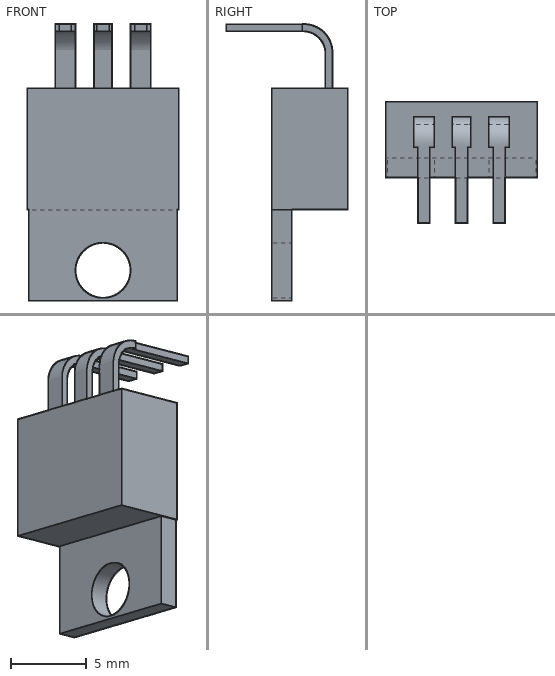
import cadquery as cq
import math

body_width = 10.0
body_depth = 5.0
body_height = 8.0

tab_width = 9.8
tab_thickness = 1.33
tab_height = 6.0
hole_diameter = 3.6
hole_height = 2.0

total_height = 18.21
outer_lead_width = 1.35
middle_lead_width = 1.2
lead_gap = 1.2
tip_width = 0.8
lead_thickness = 0.5
lead_back = 4.0
bend_depth = 2.0
bend_outer_radius = 1.9
bend_inner_radius = 1.44
bend_axis_setback = 0.117
tip_reach = 2.99

body_top = tab_height + body_height
bend_front = lead_back - bend_depth

bend_axis_y = bend_front + bend_axis_setback
bend_axis_z = total_height - bend_outer_radius
bend_start = bend_axis_z + math.sqrt(bend_outer_radius**2 - (lead_back - bend_axis_y) ** 2)
lead_top = bend_axis_z + math.sqrt(bend_outer_radius**2 - bend_axis_setback**2)

lead_pitch = (middle_lead_width + outer_lead_width) / 2 + lead_gap


def make_box(width, y_range, z_range, x_center=0):
    """Block centred on x_center that spans the given Y and Z ranges."""
    y_start, y_end = y_range
    z_start, z_end = z_range
    return (
        cq.Workplane("XY")
        .box(width, y_end - y_start, z_end - z_start, centered=(True, False, False))
        .translate((x_center, y_start, z_start))
    )


def make_tab():
    """Mounting tab with a round hole through its thickness."""
    tab = make_box(tab_width, (0, tab_thickness), (0, tab_height))
    hole = (
        cq.Workplane("XZ")
        .center(0, hole_height)
        .circle(hole_diameter / 2)
        .extrude(-tab_thickness)
    )
    return tab.cut(hole)


def make_lead(x_center, shank_width):
    """Wide upright shank with a rounded bend, then a narrower straight tip."""
    shank = (
        cq.Workplane("YZ")
        .moveTo(lead_back, body_top)
        .lineTo(lead_back, bend_start)
        .radiusArc((bend_front, lead_top), -bend_outer_radius)
        .lineTo(bend_front, lead_top - lead_thickness)
        .radiusArc((lead_back - lead_thickness, bend_start), bend_inner_radius)
        .lineTo(lead_back - lead_thickness, body_top)
        .close()
        .extrude(shank_width / 2, both=True)
        .translate((x_center, 0, 0))
    )
    tip = make_box(
        tip_width,
        (-tip_reach, bend_front),
        (lead_top - lead_thickness, lead_top),
        x_center,
    )
    return shank.union(tip)


result = make_box(body_width, (0, body_depth), (tab_height, body_top)).union(make_tab())
result = result.union(make_lead(0, middle_lead_width))
for x_center in (-lead_pitch, lead_pitch):
    result = result.union(make_lead(x_center, outer_lead_width))